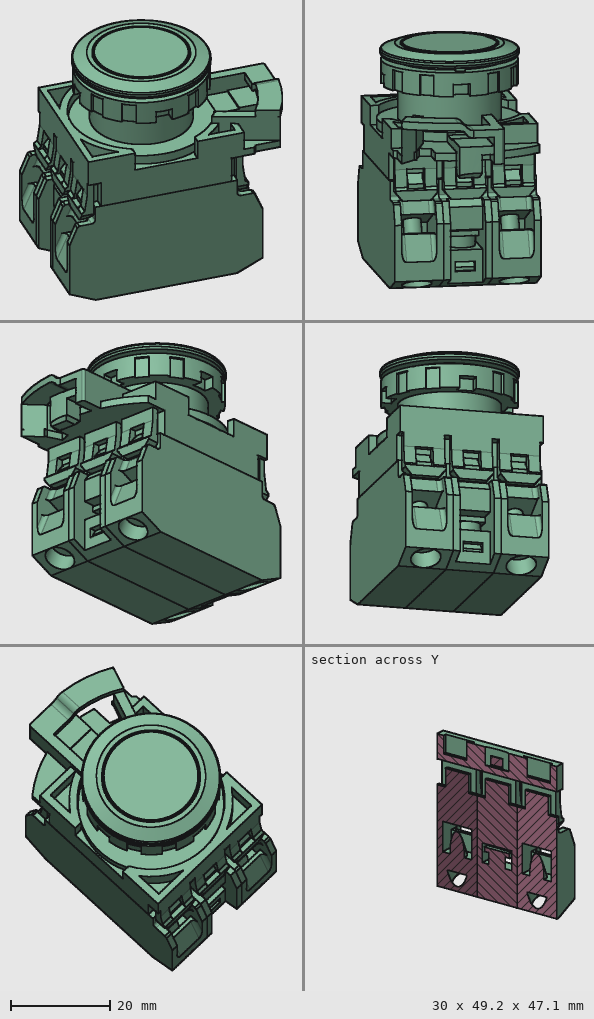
import cadquery as cq
import math

WIDTH = 30.0
MODULE = WIDTH / 3
BLOCK_HALF_DEPTH = 20.7
BLOCK_NECK = 15.25
BLOCK_SHOULDER = 18.35
BLOCK_TOP = 22.15
CHAMFER_TOP = 2.5
CHAMFER_INNER = 15.1
SLOPE_BOTTOM = 14.1
SLOPE_INNER = 18.95

ADAPTER_TOP = 33.2
ADAPTER_FLOOR = 29.22
RIM_BOTTOM = 27.65
RIM_HALF_DEPTH = 16.7
CORE_HALF_DEPTH = 13.95
RECESS_RADIUS = 14.9

GUARD_TOP = 34.8
ARM_TOP = 36.35
GUARD_BACK = 28.5
ARM_INNER_RADIUS = 23.55

BARREL_RADIUS = 10.5
NUT_BOTTOM = 38.75
NUT_TOP = 43.7
BEZEL_BOTTOM = 44.6
TOP = 47.1

SIDES = (False, True)


def box(x0, x1, y0, y1, z0, z1):
    return cq.Workplane("XY").box(x1 - x0, y1 - y0, z1 - z0, centered=False).translate((x0, y0, z0))


def disc(radius, z0, z1):
    return cq.Workplane("XY").workplane(offset=z0).circle(radius).extrude(z1 - z0)


def plan_prism(points, z0, z1):
    return cq.Workplane("XY").workplane(offset=z0).polyline(points).close().extrude(z1 - z0)


def side_prism(points, half_width):
    """Y-Z outline extruded symmetrically about X = 0."""
    return cq.Workplane("YZ").polyline(points).close().extrude(half_width, both=True)


def end_copy(shape, mirrored):
    """Shape made for the -Y end, or its mirror image for the +Y end."""
    return shape.mirror("XZ") if mirrored else shape


CATCH_HALF_WIDTH = 1.55
CATCH_FRONT = 16.85
CATCH_BOTTOM = 20.75
CATCH_NOSE = 21.7
CATCH_TOP = 23.6
BOSS_HALF_WIDTH = 2.95
BOSS_TOP = 26.15
SHOULDER_RADIUS = 0.75
SLOPE_EDGE_CHAMFER = 0.35

ENTRY_HALF_WIDTH = 3.6
ENTRY_FILLET = 0.95
ENTRY_BOTTOM = 6.45
ENTRY_LEDGE = 11.7
ENTRY_BROW = 15.55
BROW_DEPTH = 17.2
TROUGH_TOP_DEPTH = 16.05
RAMP_TOP_DEPTH = 18.35

CHAMFER_RUN = BLOCK_HALF_DEPTH - CHAMFER_INNER
CHAMFER_LENGTH = math.hypot(CHAMFER_RUN, CHAMFER_TOP)
CHAMFER_INWARD = cq.Vector(0, CHAMFER_TOP / CHAMFER_LENGTH, CHAMFER_RUN / CHAMFER_LENGTH)
SCREW_HOLE_RADIUS = 3.05
SCREW_HOLE_DEPTH = 3.95
CLAMP_SCREW_RADIUS = 1.8
CLAMP_SCREW_LENGTH = 19.7
ENTRY_LEDGE_INNER = 17.5
ENTRY_FLOOR = 7.85
ENTRY_BACK = 9.85

BAY_FACE = 17.5
BAY_TOP_DEPTH = 16.35
BAY_SLOPE_BOTTOM = 16.8
BAY_SHELF = 7.9
BAY_CEILING = 12.05
BAY_BACK = 9.85
TERMINAL_DEPTH = 12.7
TERMINAL_RADIUS = 2.85
TERMINAL_TOP = 10.35
WASHER_HALF_WIDTH = 3.15
WASHER_TOP = 11.4
SLIT_HALF_WIDTH = 2.0
SLIT_BOTTOM = 3.5
SLIT_RAMP_BOTTOM = 4.25
SLIT_TOP = 5.45
SLIT_DEPTH = 1.5


def block_body(is_middle):
    half_outline = [
        (CHAMFER_INNER, 0),
        (BLOCK_HALF_DEPTH, CHAMFER_TOP),
        (BLOCK_HALF_DEPTH, SLOPE_BOTTOM),
        (SLOPE_INNER, BLOCK_SHOULDER),
        (BLOCK_NECK, BLOCK_SHOULDER),
        (BLOCK_NECK, BLOCK_TOP),
    ]
    outline = half_outline + [(-y, z) for y, z in reversed(half_outline)]
    body = side_prism(outline, MODULE / 2)
    for y in (-BLOCK_NECK, BLOCK_NECK):
        inner_corner = cq.selectors.NearestToPointSelector((0, y, BLOCK_SHOULDER))
        body = body.edges(inner_corner).fillet(SHOULDER_RADIUS)
    if not is_middle:
        for y in (-SLOPE_INNER, SLOPE_INNER):
            slope_edge = cq.selectors.NearestToPointSelector((0, y, BLOCK_SHOULDER))
            body = body.edges(slope_edge).chamfer(SLOPE_EDGE_CHAMFER)
    return body


def latch_catch():
    """Boss behind the adapter latch, with the ramp that fills the latch window."""
    boss = box(-BOSS_HALF_WIDTH, BOSS_HALF_WIDTH, -BLOCK_NECK, -CORE_HALF_DEPTH, BLOCK_TOP, BOSS_TOP)
    ramp = side_prism(
        [
            (-BLOCK_NECK, CATCH_TOP),
            (-CATCH_FRONT, CATCH_NOSE),
            (-CATCH_FRONT, CATCH_BOTTOM),
            (-BLOCK_NECK, CATCH_BOTTOM),
        ],
        CATCH_HALF_WIDTH,
    )
    return boss.union(ramp)


def chamfer_rod(radius, length):
    """Cylinder rising into the block from the middle of the lower chamfer, square to it."""
    centre = cq.Vector(0, -(BLOCK_HALF_DEPTH + CHAMFER_INNER) / 2, CHAMFER_TOP / 2)
    plane = cq.Plane(origin=centre, xDir=(1, 0, 0), normal=CHAMFER_INWARD)
    return cq.Workplane(plane).circle(radius).extrude(length)


def wire_entry():
    """Sloping trough, the wire entry behind its ramp and the clamp screw left standing in it."""
    outside = BLOCK_HALF_DEPTH + 2.45
    ceiling_back = ENTRY_BROW - (BROW_DEPTH - ENTRY_BACK) * CHAMFER_TOP / CHAMFER_RUN
    trough_slope = cq.Vector(0, TROUGH_TOP_DEPTH - BROW_DEPTH, ENTRY_BROW - BLOCK_SHOULDER)
    trough = side_prism(
        [
            (-TROUGH_TOP_DEPTH, BLOCK_SHOULDER),
            (-BROW_DEPTH, ENTRY_BROW),
            (-outside, ENTRY_BROW),
            (-outside, BLOCK_SHOULDER),
        ],
        ENTRY_HALF_WIDTH,
    )
    trough = trough.edges(cq.selectors.ParallelDirSelector(trough_slope)).fillet(ENTRY_FILLET)
    ramp_slope = cq.Vector(0, BLOCK_HALF_DEPTH - RAMP_TOP_DEPTH, ENTRY_LEDGE - ENTRY_BOTTOM)
    ramp = side_prism(
        [
            (-BLOCK_HALF_DEPTH, ENTRY_BOTTOM),
            (-RAMP_TOP_DEPTH, ENTRY_LEDGE),
            (-outside, ENTRY_LEDGE),
            (-outside, ENTRY_BOTTOM),
        ],
        ENTRY_HALF_WIDTH,
    )
    ramp = ramp.edges(cq.selectors.ParallelDirSelector(ramp_slope)).fillet(ENTRY_FILLET)
    cavity = side_prism(
        [
            (-BROW_DEPTH, ENTRY_BROW),
            (-ENTRY_BACK, ceiling_back),
            (-ENTRY_BACK, ENTRY_FLOOR),
            (-ENTRY_LEDGE_INNER, ENTRY_FLOOR),
            (-ENTRY_LEDGE_INNER, ENTRY_LEDGE),
            (-outside, ENTRY_LEDGE),
            (-outside, ENTRY_BROW),
        ],
        ENTRY_HALF_WIDTH,
    )
    clamp_screw = chamfer_rod(CLAMP_SCREW_RADIUS, CLAMP_SCREW_LENGTH)
    return trough.union(ramp).union(cavity.cut(clamp_screw))


def middle_bay():
    """Open front of the middle block, leaving a stepped face with a terminal cavity and a slit."""
    outside = BLOCK_HALF_DEPTH + 0.5
    front = side_prism(
        [
            (-BAY_FACE, 0),
            (-BAY_FACE, BAY_SLOPE_BOTTOM),
            (-BAY_TOP_DEPTH, BLOCK_SHOULDER),
            (-outside, BLOCK_SHOULDER),
            (-outside, 0),
        ],
        ENTRY_HALF_WIDTH,
    )
    cavity = box(-ENTRY_HALF_WIDTH, ENTRY_HALF_WIDTH, -BAY_FACE, -BAY_BACK, BAY_SHELF, BAY_CEILING)
    screw = disc(TERMINAL_RADIUS, BAY_SHELF, TERMINAL_TOP).translate((0, -TERMINAL_DEPTH, 0))
    washer = box(
        -WASHER_HALF_WIDTH, WASHER_HALF_WIDTH, -TERMINAL_DEPTH - TERMINAL_RADIUS, -BAY_BACK,
        TERMINAL_TOP, WASHER_TOP,
    )
    slit = side_prism(
        [
            (-BAY_FACE, SLIT_BOTTOM),
            (-BAY_FACE, SLIT_TOP),
            (SLIT_DEPTH - BAY_FACE, SLIT_TOP),
            (SLIT_DEPTH / 2 - BAY_FACE, SLIT_RAMP_BOTTOM),
            (SLIT_DEPTH / 2 - BAY_FACE, SLIT_BOTTOM),
        ],
        SLIT_HALF_WIDTH,
    )
    return front.union(cavity.cut(screw).cut(washer)).union(slit)


def contact_block(centre_x, is_middle):
    block = block_body(is_middle)
    for mirrored in SIDES:
        block = block.union(end_copy(latch_catch(), mirrored))
        if is_middle:
            block = block.cut(end_copy(middle_bay(), mirrored))
        else:
            screw_hole = chamfer_rod(SCREW_HOLE_RADIUS, SCREW_HOLE_DEPTH)
            block = block.cut(end_copy(wire_entry(), mirrored)).cut(end_copy(screw_hole, mirrored))
    return block.translate((centre_x, 0, 0))


NOTCH_HALF_DEPTH = 6.7
POCKET_HALF_WIDTH = 13.35
POCKET_HALF_DEPTH = 15.25
POCKET_RADIUS = 16.5

LATCH_HALF_WIDTH = 4.3
WINDOW_CLEARANCE = 0.25
LATCH_WINDOW_TOP = 24.8
LATCH_LIP_TOP = 20.6
LATCH_BOTTOM = 18.5
LATCH_LIP_DEPTH = 17.9
LATCH_LIP_BEVEL = 1.35
LATCH_BEVEL_TOP = 20.1
LATCH_GROOVE_DEPTH = 17.2
LATCH_GROOVE_HEIGHT = 21.15
LATCH_TOE_DEPTH = 16.25
LATCH_TOE_TOP = 19.6

PLATE_RADIUS = 24.1
LEG_LEFT = -6.1
LEG_RIGHT = -3.95
LEG_CORNER_RADIUS = 0.5
WAVE_LEFT = 0.25
WAVE_RIGHT = 3.35
ARM_RISE = ARM_TOP - GUARD_TOP
ARM_THICKNESS = 1.55
TAB_RIGHT = 14.3
TAB_REAR = 24.7
STRUT_OUTER_END = (9.55, 11.65)
STRUT_INNER_REAR = (10.75, 20.95)
STRUT_INNER_END = (7.8, 13.05)
WINDOW_LEFT = 7.15
WINDOW_FRONT = 18.65
WINDOW_STRUT = (9.45, 17.8)


def adapter_body():
    rim = box(-WIDTH / 2, WIDTH / 2, -RIM_HALF_DEPTH, RIM_HALF_DEPTH, RIM_BOTTOM, ADAPTER_TOP)
    core = box(-WIDTH / 2, WIDTH / 2, -CORE_HALF_DEPTH, CORE_HALF_DEPTH, BLOCK_TOP, RIM_BOTTOM)
    notches = box(-WIDTH, WIDTH, -NOTCH_HALF_DEPTH, NOTCH_HALF_DEPTH, ADAPTER_FLOOR, ADAPTER_TOP)
    corner_pockets = box(
        -POCKET_HALF_WIDTH, POCKET_HALF_WIDTH, -POCKET_HALF_DEPTH, POCKET_HALF_DEPTH,
        ADAPTER_FLOOR, ADAPTER_TOP,
    ).cut(disc(POCKET_RADIUS, ADAPTER_FLOOR, ADAPTER_TOP))
    return rim.union(core).cut(notches).cut(corner_pockets)


def latch(centre_x):
    """Hanging latch at the -Y end: tapered arm with a window and a bevelled lip."""
    arm = side_prism(
        [
            (-BLOCK_NECK, RIM_BOTTOM),
            (-RIM_HALF_DEPTH, RIM_BOTTOM),
            (-RIM_HALF_DEPTH, LATCH_WINDOW_TOP),
            (-LATCH_GROOVE_DEPTH, LATCH_GROOVE_HEIGHT),
            (-LATCH_LIP_DEPTH, LATCH_LIP_TOP),
            (-LATCH_LIP_DEPTH, LATCH_BOTTOM),
            (-LATCH_TOE_DEPTH, LATCH_BOTTOM),
            (-BLOCK_NECK, LATCH_TOE_TOP),
        ],
        LATCH_HALF_WIDTH,
    )
    bevel_outline = [
        (-LATCH_HALF_WIDTH, LATCH_BEVEL_TOP),
        (-LATCH_HALF_WIDTH, RIM_BOTTOM),
        (LATCH_HALF_WIDTH, RIM_BOTTOM),
        (LATCH_HALF_WIDTH, LATCH_BEVEL_TOP),
        (LATCH_HALF_WIDTH - LATCH_LIP_BEVEL, LATCH_BOTTOM),
        (LATCH_LIP_BEVEL - LATCH_HALF_WIDTH, LATCH_BOTTOM),
    ]
    front_shape = cq.Workplane("XZ").polyline(bevel_outline).close().extrude(LATCH_LIP_DEPTH)
    window_half = CATCH_HALF_WIDTH + WINDOW_CLEARANCE
    window = box(
        -window_half, window_half, -LATCH_LIP_DEPTH, -BLOCK_NECK,
        LATCH_LIP_TOP, LATCH_WINDOW_TOP,
    )
    return arm.intersect(front_shape).cut(window).translate((centre_x, 0, 0))


def rear_plate():
    """Round plate behind the rim, with a squared tab and a window under the guard arm."""
    plate = disc(PLATE_RADIUS, RIM_BOTTOM, ADAPTER_FLOOR).intersect(
        box(-WIDTH / 2, WIDTH / 2, CORE_HALF_DEPTH, PLATE_RADIUS, RIM_BOTTOM, ADAPTER_FLOOR)
    )
    tab = plan_prism(
        [(TAB_RIGHT, CORE_HALF_DEPTH), (TAB_RIGHT, TAB_REAR), STRUT_INNER_REAR, STRUT_INNER_END],
        RIM_BOTTOM, ADAPTER_FLOOR,
    )
    return plate.union(tab)


def plate_window():
    return plan_prism(
        [
            (WINDOW_LEFT, WINDOW_FRONT),
            WINDOW_STRUT,
            STRUT_INNER_REAR,
            (STRUT_INNER_REAR[0], PLATE_RADIUS),
            (WINDOW_LEFT, PLATE_RADIUS),
        ],
        RIM_BOTTOM, ADAPTER_FLOOR,
    )


def lever_clearance():
    """Rear rim wall removed between the leg and the strut of the guard."""
    return plan_prism(
        [
            (LEG_RIGHT, CORE_HALF_DEPTH),
            STRUT_OUTER_END,
            (TAB_RIGHT, TAB_REAR),
            (LEG_RIGHT, TAB_REAR),
        ],
        ADAPTER_FLOOR, ADAPTER_TOP,
    )


def guard_arm():
    """Raised curved arm, cut off along the strut's outer line."""
    sector = plan_prism(
        [
            (WAVE_RIGHT, CORE_HALF_DEPTH),
            STRUT_OUTER_END,
            (TAB_RIGHT, TAB_REAR),
            (TAB_RIGHT, GUARD_BACK),
            (WAVE_RIGHT, GUARD_BACK),
        ],
        GUARD_TOP, ARM_TOP,
    )
    return arm_ring().intersect(sector)


def arm_ring():
    outer = disc(GUARD_BACK, RIM_BOTTOM, ARM_TOP)
    return outer.cut(disc(ARM_INNER_RADIUS, RIM_BOTTOM, ARM_TOP))


def guard_wave():
    """S-shaped rise of two equal arcs from the straight bar to the curved arm."""
    run = WAVE_RIGHT - WAVE_LEFT
    radius = (run**2 + ARM_RISE**2) / (4 * ARM_RISE)
    middle_x = WAVE_LEFT + run / 2
    middle_z = GUARD_TOP + ARM_RISE / 2
    wave = (
        cq.Workplane("XZ", origin=(0, GUARD_BACK, 0))
        .moveTo(WAVE_LEFT, GUARD_TOP)
        .radiusArc((middle_x, middle_z), -radius)
        .radiusArc((WAVE_RIGHT, ARM_TOP), radius)
        .lineTo(WAVE_RIGHT, ARM_TOP - ARM_THICKNESS)
        .radiusArc((middle_x, middle_z - ARM_THICKNESS), -radius)
        .radiusArc((WAVE_LEFT, GUARD_TOP - ARM_THICKNESS), radius)
        .close()
        .extrude(GUARD_BACK - CORE_HALF_DEPTH)
    )
    return wave.intersect(arm_ring())


def lever_guard():
    """Left leg, rear bar, curved arm and slanting strut, ending at the round recess."""
    leg = box(LEG_LEFT, LEG_RIGHT, 0, GUARD_BACK, RIM_BOTTOM, GUARD_TOP)
    leg = leg.edges("|Z and <X and >Y").fillet(LEG_CORNER_RADIUS)
    bar = box(LEG_RIGHT, WAVE_LEFT, ARM_INNER_RADIUS, GUARD_BACK, GUARD_TOP - ARM_THICKNESS, GUARD_TOP)
    strut = plan_prism(
        [STRUT_OUTER_END, (TAB_RIGHT, TAB_REAR), STRUT_INNER_REAR, STRUT_INNER_END],
        ADAPTER_FLOOR, GUARD_TOP,
    )
    shape = leg.union(bar).union(strut).union(guard_arm()).union(guard_wave())
    return shape.cut(disc(RECESS_RADIUS, ADAPTER_FLOOR, GUARD_TOP))


def mounting_adapter():
    adapter = adapter_body().union(rear_plate()).cut(lever_clearance()).cut(plate_window())
    adapter = adapter.cut(disc(RECESS_RADIUS, ADAPTER_FLOOR, ADAPTER_TOP))
    adapter = adapter.union(lever_guard())
    for index in (-1, 0, 1):
        for mirrored in SIDES:
            adapter = adapter.union(end_copy(latch(index * MODULE), mirrored))
    return adapter


RING_RADIUS = 14.7
RING_BOTTOM = 29.6
RING_TOP = 31.6
TONGUE_RIGHT = 3.1
TONGUE_FRONT = 14.8
TONGUE_STEP = 19.9
TONGUE_NEAR_TOP = 31.1
TONGUE_FAR_TOP = 31.4
HOOK_LEFT = -1.5
HOOK_FRONT = 24.4
HOOK_BOTTOM = 24.95
HOOK_BEVEL_TOP = 25.95
HOOK_FRONT_BEVEL = 1.05
HOOK_SMALL_BEVEL = 0.5


def hook():
    side_shape = side_prism(
        [
            (HOOK_FRONT, RING_BOTTOM),
            (GUARD_BACK, RING_BOTTOM),
            (GUARD_BACK, HOOK_BEVEL_TOP),
            (GUARD_BACK - HOOK_SMALL_BEVEL, HOOK_BOTTOM),
            (HOOK_FRONT + HOOK_FRONT_BEVEL, HOOK_BOTTOM),
            (HOOK_FRONT, HOOK_BEVEL_TOP),
        ],
        WIDTH / 2,
    )
    rear_outline = [
        (HOOK_LEFT, RING_BOTTOM),
        (TONGUE_RIGHT, RING_BOTTOM),
        (TONGUE_RIGHT, HOOK_BOTTOM),
        (HOOK_LEFT + HOOK_SMALL_BEVEL, HOOK_BOTTOM),
        (HOOK_LEFT, HOOK_BEVEL_TOP),
    ]
    rear_shape = cq.Workplane("XZ").polyline(rear_outline).close().extrude(-GUARD_BACK)
    return side_shape.intersect(rear_shape)


def lever_ring():
    root = box(LEG_RIGHT, TONGUE_RIGHT, BARREL_RADIUS, TONGUE_FRONT, RING_BOTTOM, RING_TOP)
    near = box(LEG_RIGHT, TONGUE_RIGHT, TONGUE_FRONT, TONGUE_STEP, RING_BOTTOM, TONGUE_NEAR_TOP)
    far = box(LEG_RIGHT, TONGUE_RIGHT, TONGUE_STEP, GUARD_BACK, RING_BOTTOM, TONGUE_FAR_TOP)
    tongue = root.union(near).union(far).union(hook()).intersect(disc(GUARD_BACK, HOOK_BOTTOM, RING_TOP))
    ring = disc(RING_RADIUS, RING_BOTTOM, RING_TOP).union(tongue)
    return ring.cut(disc(BARREL_RADIUS, RING_BOTTOM, RING_TOP))


NECK_RADIUS = 11.0
BEZEL_RADIUS = 14.05
BEZEL_EDGE_BOTTOM = 45.1
BEZEL_EDGE_TOP = 45.65
BEZEL_SLOPE_BOTTOM = 46.0
BEZEL_STEP = 0.25
BEZEL_RIM_RADIUS = 11.0
BEZEL_RIM_TOP = 47.0
GROOVE_OUTER_RADIUS = 9.95
GROOVE_INNER_RADIUS = 9.75
GROOVE_DEPTH = 1.0
BUTTON_EDGE = 0.25
KEY_HALF_WIDTH = 1.0
KEY_REACH = 12.45
KEY_TOP = 44.3


def operator_body():
    profile = [
        (0, ADAPTER_FLOOR),
        (BARREL_RADIUS, ADAPTER_FLOOR),
        (BARREL_RADIUS, NUT_TOP),
        (NECK_RADIUS, NUT_TOP),
        (NECK_RADIUS, BEZEL_BOTTOM),
        (BEZEL_RADIUS - BEZEL_STEP, BEZEL_BOTTOM),
        (BEZEL_RADIUS, BEZEL_EDGE_BOTTOM),
        (BEZEL_RADIUS, BEZEL_EDGE_TOP),
        (BEZEL_RADIUS - BEZEL_STEP, BEZEL_SLOPE_BOTTOM),
        (BEZEL_RIM_RADIUS, BEZEL_RIM_TOP),
        (GROOVE_OUTER_RADIUS, BEZEL_RIM_TOP),
        (GROOVE_OUTER_RADIUS, TOP - GROOVE_DEPTH),
        (GROOVE_INNER_RADIUS, TOP - GROOVE_DEPTH),
        (GROOVE_INNER_RADIUS, TOP - BUTTON_EDGE),
        (GROOVE_INNER_RADIUS - BUTTON_EDGE, TOP),
        (0, TOP),
    ]
    turned = cq.Workplane("XZ").polyline(profile).close().revolve(360, (0, 0), (0, 1))
    key = box(-KEY_HALF_WIDTH, KEY_HALF_WIDTH, BARREL_RADIUS, KEY_REACH, NUT_TOP, KEY_TOP)
    return turned.union(key)


NUT_RADIUS = 13.85
NOTCH_PITCH = 30
SHORT_NOTCH_PITCH = 90
NOTCH_INNER_RADIUS = 13.3
TALL_NOTCH_WIDTH = 2.95
TALL_NOTCH_TOP = 43.0
SHORT_NOTCH_INNER_RADIUS = 11.8
SHORT_NOTCH_WIDTH = 3.45
SHORT_NOTCH_TOP = 41.25


def nut_notch(angle):
    is_short = angle % SHORT_NOTCH_PITCH == 0
    width = SHORT_NOTCH_WIDTH if is_short else TALL_NOTCH_WIDTH
    inner_radius = SHORT_NOTCH_INNER_RADIUS if is_short else NOTCH_INNER_RADIUS
    top = SHORT_NOTCH_TOP if is_short else TALL_NOTCH_TOP
    bar = box(0, NUT_RADIUS + 0.5, -width / 2, width / 2, NUT_BOTTOM, top)
    return bar.cut(disc(inner_radius, NUT_BOTTOM, top)).rotate((0, 0, 0), (0, 0, 1), angle)


def ring_nut():
    nut = disc(NUT_RADIUS, NUT_BOTTOM, NUT_TOP).cut(disc(BARREL_RADIUS, NUT_BOTTOM, NUT_TOP))
    for angle in range(0, 360, NOTCH_PITCH):
        nut = nut.cut(nut_notch(angle))
    return nut


contact_blocks = [contact_block(index * MODULE, index == 0) for index in (-1, 0, 1)]
adapter = mounting_adapter()
operator = operator_body()
ring = lever_ring()
nut = ring_nut()

result = cq.Compound.makeCompound(
    [block.val() for block in contact_blocks]
    + [adapter.val(), ring.val(), operator.val(), nut.val()]
)